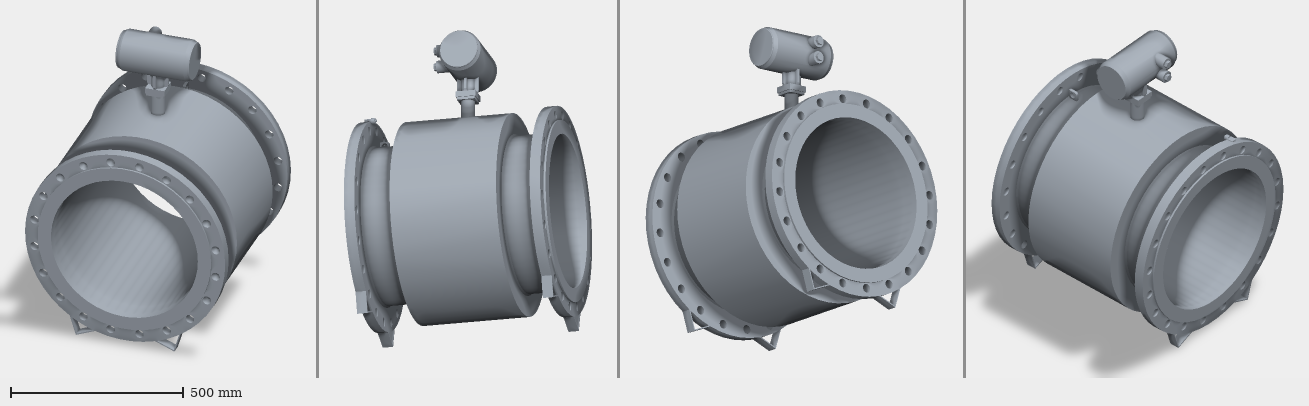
import cadquery as cq
import math


overall_height = 867.0
total_length = 600.0
bore_diameter = 451.0
neck_diameter = 462.0
body_diameter = 595.0
body_length = 319.0
flange_diameter = 615.0
flange_thickness = 31.0
raised_face_diameter = 532.0
raised_face_height = 6.0
weld_leg = 5.0

bolt_count = 20
bolt_hole_diameter = 26.0
bolt_circle_diameter = 563.5

lug_length = 29.0
lug_thickness = 9.0
lug_top_z = 259.0
lug_corner_radius = 8.0
lug_hole_diameter = 18.0
lug_hole_offset = 14.0
lug_hole_z = 245.0

foot_bottom_z = -317.0
foot_tilt = 25.5
foot_half_angle = 42.5
foot_leg = 66.0
foot_thickness = 3.5

stem_diameter = 42.0
plate_size = 59.0
plate_bottom_z = 370.0
plate_top_z = 387.5
pad_size = 54.0
pad_bottom_z = 362.0
rib_span = 65.0
rib_thickness = 8.0
rib_chamfer_height = 7.0
rib_chamfer_width = 3.5

housing_diameter = 124.0
housing_length = 225.0
housing_offset_x = 1.0
housing_axis_z = overall_height + foot_bottom_z - housing_diameter / 2
cap_rim_diameter = 113.0
cap_face_diameter = 110.0
cap_length = 15.0
cap_rim_length = 4.0
cap_edge = 2.0

gland_x = -35.0
gland_diameter = 36.0
gland_end_y = 83.0
gland_heights = (housing_axis_z - 22.5, housing_axis_z + 26.0)
plug_across_corners = 23.0
plug_length = 9.0

terminal_x = -106.0
terminal_z = 290.0
terminal_width = 17.0
terminal_tab_height = 8.0
terminal_corner_radius = 4.0
terminal_outer_y = 282.0
nut_diameter = 17.0
nut_length = 12.0
stud_diameter = 8.0
stud_length = 4.0

flange_outer_y = total_length / 2 - raised_face_height
flange_inner_y = flange_outer_y - flange_thickness
body_end_y = body_length / 2


def y_cylinder(diameter, start_y, end_y, x=0, z=0):
    """Round bar parallel to Y."""
    plane = cq.Plane(origin=(x, start_y, z), xDir=(1, 0, 0), normal=(0, 1, 0))
    return cq.Workplane(plane).circle(diameter / 2).extrude(end_y - start_y)


def pipe_end():
    """+Y end of the outer profile, revolved about Y, with weld beads in the corners of the neck."""
    neck_r = neck_diameter / 2
    return (
        cq.Workplane("XY")
        .moveTo(0, body_end_y)
        .lineTo(neck_r + weld_leg, body_end_y)
        .lineTo(neck_r, body_end_y + weld_leg)
        .lineTo(neck_r, flange_inner_y - weld_leg)
        .lineTo(neck_r + weld_leg, flange_inner_y)
        .lineTo(flange_diameter / 2, flange_inner_y)
        .lineTo(flange_diameter / 2, flange_outer_y)
        .lineTo(raised_face_diameter / 2, flange_outer_y)
        .lineTo(raised_face_diameter / 2, total_length / 2)
        .lineTo(0, total_length / 2)
        .close()
        .revolve(360, (0, 0, 0), (0, 1, 0))
    )


def bolt_holes():
    """Bolt circle through one +Y flange, straddling the vertical centre line."""
    pitch = 360 / bolt_count
    plane = cq.Plane(origin=(0, flange_inner_y, 0), xDir=(1, 0, 0), normal=(0, 1, 0))
    return (
        cq.Workplane(plane)
        .polarArray(bolt_circle_diameter / 2, pitch / 2, 360, bolt_count)
        .circle(bolt_hole_diameter / 2)
        .extrude(flange_thickness)
    )


def lifting_lug():
    """Eye plate on the top of the neck, against the inner face of the +Y flange."""
    base_z = neck_diameter / 2 - lug_thickness
    height = lug_top_z - base_z
    lug = (
        cq.Workplane("XY")
        .box(lug_thickness, lug_length, height)
        .translate((0, flange_inner_y - lug_length / 2, base_z + height / 2))
        .edges("|X and >Z and <Y")
        .fillet(lug_corner_radius)
    )
    eye = (
        cq.Workplane("YZ")
        .center(flange_inner_y - lug_hole_offset, lug_hole_z)
        .circle(lug_hole_diameter / 2)
        .extrude(lug_thickness, both=True)
    )
    return lug.cut(eye)


def foot(side):
    """Angle section under the +Y flange, its corner pointing radially outward; side is -1 or 1."""
    half_angle = math.radians(foot_half_angle)
    tilt = math.radians(foot_tilt)
    corner_r = -foot_bottom_z / math.cos(tilt)
    end_x = foot_leg * math.sin(half_angle)
    end_z = foot_leg * math.cos(half_angle) - corner_r
    inner_corner_z = foot_thickness / math.sin(half_angle) - corner_r
    end_width = foot_thickness / math.cos(half_angle)
    plane = cq.Plane(origin=(0, flange_outer_y, 0), xDir=(1, 0, 0), normal=(0, -1, 0))
    angle = (
        cq.Workplane(plane)
        .polyline([
            (0, -corner_r),
            (end_x, end_z),
            (end_x - end_width, end_z),
            (0, inner_corner_z),
            (end_width - end_x, end_z),
            (-end_x, end_z),
        ])
        .close()
        .extrude(flange_thickness)
    )
    return angle.rotate((0, 0, 0), (0, 1, 0), -side * foot_tilt)


def support():
    """Round stem, square plate with a smaller pad below it, and crossed ribs up to the housing."""
    stem_base_z = body_diameter / 2 - stem_diameter / 2
    stem = (
        cq.Workplane("XY", origin=(0, 0, stem_base_z))
        .circle(stem_diameter / 2)
        .extrude(housing_axis_z - stem_base_z)
    )
    plate = (
        cq.Workplane("XY", origin=(0, 0, plate_bottom_z))
        .rect(plate_size, plate_size)
        .extrude(plate_top_z - plate_bottom_z)
    )
    pad = (
        cq.Workplane("XY", origin=(0, 0, pad_bottom_z))
        .rect(pad_size, pad_size)
        .extrude(plate_bottom_z - pad_bottom_z)
    )
    rib = (
        cq.Workplane("XY", origin=(0, 0, plate_top_z))
        .rect(rib_span, rib_thickness)
        .extrude(housing_axis_z - plate_top_z)
        .edges("|Y and <Z")
        .chamfer(rib_chamfer_height, rib_chamfer_width)
    )
    crossed_rib = rib.rotate((0, 0, 0), (0, 0, 1), 90)
    return stem.union(plate).union(pad).union(rib).union(crossed_rib)


def housing():
    """Round case along X with tapered end caps."""
    half = housing_length / 2
    housing_r = housing_diameter / 2
    rim_r = cap_rim_diameter / 2
    face_r = cap_face_diameter / 2
    case = (
        cq.Workplane("XY")
        .moveTo(-half, 0)
        .lineTo(-half, face_r)
        .lineTo(cap_edge - half, rim_r)
        .lineTo(cap_rim_length - half, rim_r)
        .lineTo(cap_length - half, housing_r)
        .lineTo(half - cap_length, housing_r)
        .lineTo(half - cap_rim_length, rim_r)
        .lineTo(half - cap_edge, rim_r)
        .lineTo(half, face_r)
        .lineTo(half, 0)
        .close()
        .revolve(360, (0, 0, 0), (1, 0, 0))
    )
    return case.translate((housing_offset_x, 0, housing_axis_z))


def cable_gland(height):
    """Round gland on the +Y side of the housing, closed by a hexagonal plug."""
    barrel = y_cylinder(gland_diameter, 0, gland_end_y, gland_x, height)
    plane = cq.Plane(origin=(gland_x, gland_end_y, height), xDir=(1, 0, 0), normal=(0, 1, 0))
    plug = cq.Workplane(plane).polygon(6, plug_across_corners).extrude(plug_length)
    return barrel.union(plug)


def earthing_terminal():
    """Flat tab set into the flange rim, with a nut and stud end behind the flange."""
    nut_end_y = flange_inner_y - nut_length
    tab_length = terminal_outer_y - flange_inner_y
    tab = (
        cq.Workplane("XY")
        .box(terminal_width, tab_length, terminal_tab_height)
        .edges("|Z and >Y")
        .fillet(terminal_corner_radius)
        .translate((terminal_x, terminal_outer_y - tab_length / 2, terminal_z))
    )
    nut = y_cylinder(nut_diameter, nut_end_y, flange_inner_y, terminal_x, terminal_z)
    stud = y_cylinder(stud_diameter, nut_end_y - stud_length, nut_end_y, terminal_x, terminal_z)
    return tab.union(nut).union(stud)


result = y_cylinder(body_diameter, -body_end_y, body_end_y)
for flange_feature in (pipe_end(), lifting_lug(), foot(-1), foot(1)):
    result = result.union(flange_feature).union(flange_feature.mirror("XZ"))
result = result.cut(bolt_holes()).cut(bolt_holes().mirror("XZ"))
result = result.cut(y_cylinder(bore_diameter, -total_length / 2, total_length / 2))

result = result.union(support()).union(housing())
for gland_height in gland_heights:
    result = result.union(cable_gland(gland_height))

result = result.union(earthing_terminal())